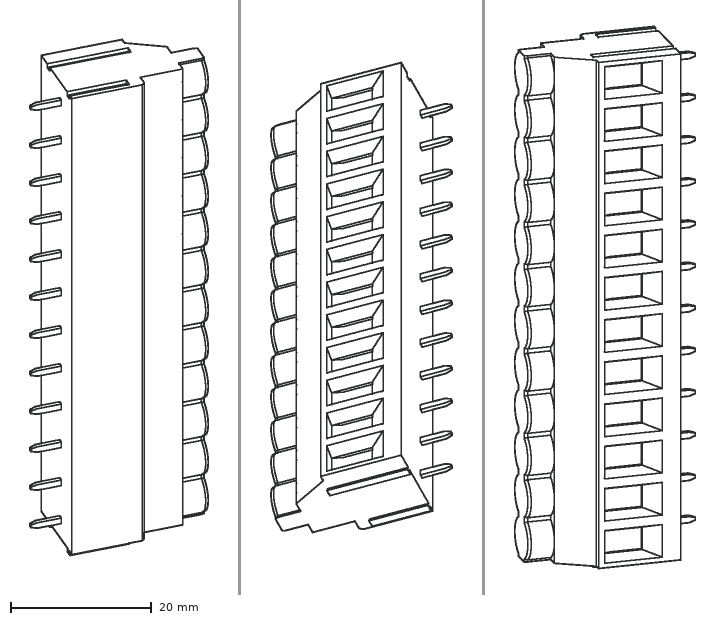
import cadquery as cq

width = 12.5
total_height = 76.8
rib_height = 0.6
body_height = total_height - rib_height
body_top = total_height / 2
body_bottom = body_top - body_height

cap_top = 21.5
shoulder_level = 17.6
wire_face_depth = 12.3
ledge_depth = 11.1

wire_lip = 1.0
cap_left = 4.1
cap_right = 10.5
ledge_chamfer = 0.45

station_count = 12
pitch = body_height / station_count
stations = [body_top - (i + 0.5) * pitch for i in range(station_count)]

cap_radius = (cap_right - cap_left) / 2
cap_x = (cap_left + cap_right) / 2
cap_bevel_height = 0.45
cap_bevel_width = 0.15
web_width = 3.0

pocket_low = 2.8
pocket_high = 11.4
recess_low = 5.15
floor_high = 9.8
mouth_height = 4.9
recess_height = 3.4
taper_depth = 1.9
high_wall_depth = 1.9
floor_depth = 2.4

pin_x = 7.9
pin_width = 0.7
pin_thickness = 0.9
pin_length = 4.6
pin_taper_length = 0.9
pin_tip_width = 0.45
pin_tip_thickness = 0.4

joints = [
    (2.45, 1.15, wire_face_depth),
    (10.5, 1.2, 9.0),
]
rib_undercut = 0.3
groove_slant = 0.2


def make_body():
    """Housing cross-section, extruded along Z."""
    outline = [
        (0, 0),
        (width, 0),
        (width, ledge_depth - ledge_chamfer),
        (width - ledge_chamfer, ledge_depth),
        (cap_right, ledge_depth),
        (cap_right, shoulder_level),
        (cap_left, shoulder_level),
        (wire_lip, wire_face_depth),
        (0, wire_face_depth),
    ]
    return cq.Workplane("XY", origin=(0, 0, body_bottom)).polyline(outline).close().extrude(body_height)


def half_cap_section(half_width):
    """Half of a bevelled section standing on the shoulder, from its middle line outwards."""
    return [
        (0, shoulder_level),
        (half_width, shoulder_level),
        (half_width, cap_top - cap_bevel_height),
        (half_width - cap_bevel_width, cap_top),
        (0, cap_top),
    ]


def make_web():
    """Straight bevelled bar that runs through all the caps, flush with both ends."""
    half = (
        cq.Workplane("XY", origin=(cap_x, 0, body_bottom))
        .polyline(half_cap_section(web_width / 2))
        .close()
        .extrude(body_height)
    )
    return half.union(half.mirror("YZ", (cap_x, 0, 0)))


def make_cap(z):
    """Round screw cap with a bevelled rim."""
    section = cq.Workplane("XY").polyline(half_cap_section(cap_radius)).close()
    cap = section.revolve(360, (0, 0), (0, 1))
    return cap.translate((cap_x, 0, z))


def make_pocket(z):
    """Wire pocket: its X-Y outline crossed with its X-Z outline, which tapers at top and bottom."""
    plan_outline = [
        (0, pocket_low),
        (taper_depth, recess_low),
        (floor_depth, recess_low),
        (floor_depth, floor_high),
        (high_wall_depth, pocket_high),
        (0, pocket_high),
    ]
    side_outline = [
        (0, -mouth_height / 2),
        (taper_depth, -recess_height / 2),
        (floor_depth, -recess_height / 2),
        (floor_depth, recess_height / 2),
        (taper_depth, recess_height / 2),
        (0, mouth_height / 2),
    ]
    plan = cq.Workplane("XY").polyline(plan_outline).close().extrude(mouth_height / 2, both=True)
    side = cq.Workplane("XZ").polyline(side_outline).close().extrude(-pocket_high)
    return plan.intersect(side).translate((0, 0, z))


def make_pin(z):
    """Rectangular pin with a tapered tip, pointing to -Y."""
    shank_length = pin_length - pin_taper_length
    shank = cq.Workplane("XZ", origin=(pin_x, 0, z)).rect(pin_width, pin_thickness).extrude(shank_length)
    tip = (
        cq.Workplane("XZ", origin=(pin_x, -shank_length, z))
        .rect(pin_width, pin_thickness)
        .workplane(offset=pin_taper_length)
        .rect(pin_tip_width, pin_tip_thickness)
        .loft(ruled=True)
    )
    return shank.union(tip)


def make_rib(x, rib_width, length):
    """Dovetail rib below the block, widest at its free side."""
    profile = [
        (x + rib_undercut, body_bottom),
        (x, body_bottom - rib_height),
        (x + rib_width, body_bottom - rib_height),
        (x + rib_width - rib_undercut, body_bottom),
    ]
    return cq.Workplane("XZ").polyline(profile).close().extrude(-length)


def make_groove(x, groove_width, length):
    """Groove in the top end with an upright wall and a slanted one."""
    profile = [
        (x, body_top),
        (x, body_top - rib_height),
        (x + groove_width - groove_slant, body_top - rib_height),
        (x + groove_width, body_top),
    ]
    return cq.Workplane("XZ").polyline(profile).close().extrude(-length)


result = make_body().union(make_web())

for station_z in stations:
    result = result.union(make_cap(station_z))
result = result.intersect(
    cq.Workplane("XY", origin=(width / 2, cap_top / 2, body_bottom)).rect(width, cap_top).extrude(body_height)
)

for station_z in stations:
    result = result.cut(make_pocket(station_z)).union(make_pin(station_z))

for joint in joints:
    result = result.union(make_rib(*joint)).cut(make_groove(*joint))